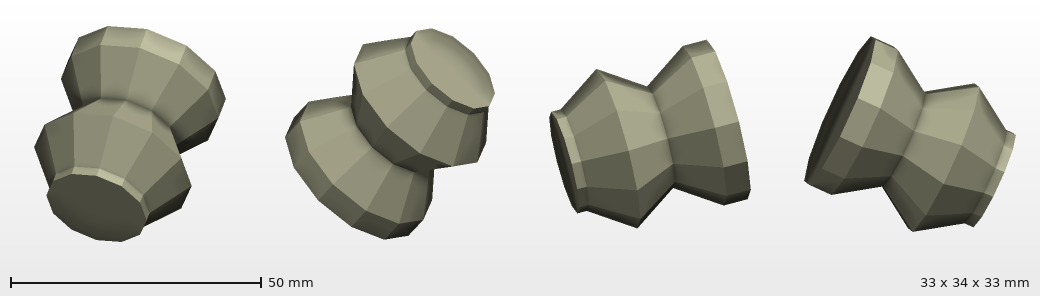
import cadquery as cq

SIDES = 12
LENGTH = 34.0
WIDE_DIAMETER = 33.0
NARROW_DIAMETER = 21.0
BACK_RIM_LENGTH = 5.0
TAPER_LENGTH = 9.0
FRONT_RIM_LENGTH = LENGTH - BACK_RIM_LENGTH - 3 * TAPER_LENGTH

STRETCHES = [
    (BACK_RIM_LENGTH, WIDE_DIAMETER),
    (TAPER_LENGTH, NARROW_DIAMETER),
    (TAPER_LENGTH, WIDE_DIAMETER),
    (TAPER_LENGTH, NARROW_DIAMETER),
    (FRONT_RIM_LENGTH, NARROW_DIAMETER),
]


def faceted_knob():
    """Join the twelve-sided sections with flat facets, from the back (+Y) to the front (-Y)."""
    sections = cq.Workplane("XZ", origin=(0, LENGTH / 2, 0)).polygon(SIDES, WIDE_DIAMETER)
    for length, diameter in STRETCHES:
        sections = sections.workplane(offset=length).polygon(SIDES, diameter)
    return sections.loft(ruled=True)


result = faceted_knob()